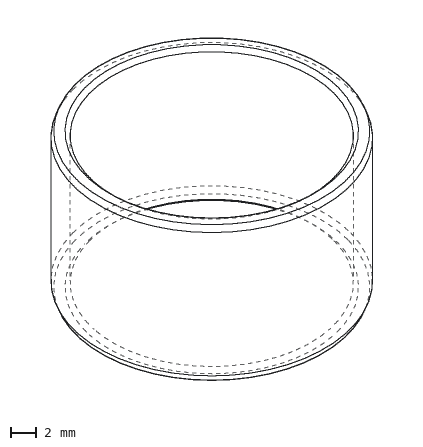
import cadquery as cq

outer_diameter = 25.0
bore_diameter = 22.0
height = 15.0

outer_chamfer_height = 0.6
outer_chamfer_depth = 0.22

bore_chamfer = 0.4

outer_radius = outer_diameter / 2
bore_radius = bore_diameter / 2

wall_section = [
    (bore_radius, bore_chamfer),
    (bore_radius + bore_chamfer, 0),
    (outer_radius - outer_chamfer_depth, 0),
    (outer_radius, outer_chamfer_height),
    (outer_radius, height - outer_chamfer_height),
    (outer_radius - outer_chamfer_depth, height),
    (bore_radius + bore_chamfer, height),
    (bore_radius, height - bore_chamfer),
]

result = (
    cq.Workplane("XZ")
    .polyline(wall_section)
    .close()
    .revolve(360, (0, 0, 0), (0, 1, 0))
)